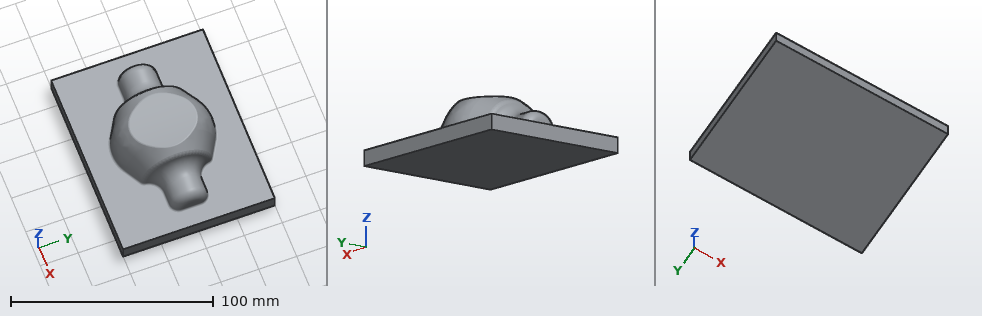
import cadquery as cq
import math

plate_length = 100.0
plate_width = 80.0
plate_thickness = 8.0

body_length = 80.0
neck_radius = 10.0
flare_radius = 8.0
shoulder_x = 20.0
cone_angle = math.radians(30)
crown_round = 20.0
shoulder_round = 3.0
end_round = 5.0

dish_floor = 20.0
dish_radius = 150.0

rim_round = 1.0
foot_round = 1.0

tolerance = 0.01

body_half_length = body_length / 2
flare_end_x = shoulder_x + flare_radius
shoulder_radius = neck_radius + flare_radius
apex_radius = shoulder_radius + shoulder_x * math.tan(cone_angle)


def make_plate():
    return (
        cq.Workplane("XY")
        .rect(plate_length, plate_width)
        .extrude(-plate_thickness)
    )


def round_rings(body, x, ring_radius, round_radius):
    """Fillet the semicircular edges around the X axis at +x and -x."""
    rings = cq.Workplane(body.val()).edges("%CIRCLE").filter(
        lambda edge: abs(abs(edge.Center().x) - x) < tolerance
        and abs(edge.radius() - ring_radius) < tolerance
    )
    return body.newObject([body.val().fillet(round_radius, rings.vals())])


def make_body():
    """Two necks flaring into a double cone, revolved half a turn above the plate."""
    flare_diagonal = flare_radius / math.sqrt(2)
    flare_mid_x = flare_end_x - flare_diagonal
    flare_mid_radius = shoulder_radius - flare_diagonal
    body = (
        cq.Workplane("XY")
        .moveTo(-body_half_length, 0)
        .lineTo(-body_half_length, neck_radius)
        .lineTo(-flare_end_x, neck_radius)
        .threePointArc((-flare_mid_x, flare_mid_radius), (-shoulder_x, shoulder_radius))
        .lineTo(0, apex_radius)
        .lineTo(shoulder_x, shoulder_radius)
        .threePointArc((flare_mid_x, flare_mid_radius), (flare_end_x, neck_radius))
        .lineTo(body_half_length, neck_radius)
        .lineTo(body_half_length, 0)
        .close()
        .revolve(180, (0, 0, 0), (1, 0, 0))
    )
    body = round_rings(body, 0, apex_radius, crown_round)
    body = round_rings(body, shoulder_x, shoulder_radius, shoulder_round)
    return round_rings(body, body_half_length, neck_radius, end_round)


def cut_dish(body):
    """Keep what lies below the dish cylinder and round the rim it leaves."""
    cutter = (
        cq.Workplane("XZ")
        .center(0, dish_floor + dish_radius)
        .circle(dish_radius)
        .extrude(plate_width / 2, both=True)
    )
    return body.cut(cutter).faces(">Z").edges().fillet(rim_round)


def round_foot(part):
    """Fillet the whole outline where the body stands on the plate."""
    outline = cq.selectors.BoxSelector(
        (-body_half_length - tolerance, -apex_radius, -tolerance),
        (body_half_length + tolerance, apex_radius, tolerance),
        boundingbox=True,
    )
    return part.edges(outline).fillet(foot_round)


body = cut_dish(make_body())
result = round_foot(make_plate().union(body))